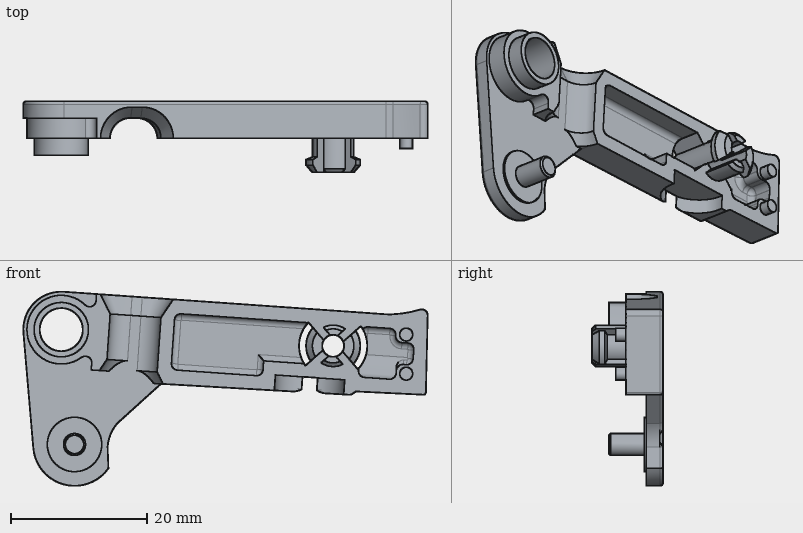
import cadquery as cq
import math

ARM_TILT = 4.0

PLATE_THICKNESS = 2.5
ARM_THICKNESS = 5.5
COLLAR_HEIGHT = 8.0
PIN_HEIGHT = 8.0
PAD_HEIGHT = 2.8
DOWEL_HEIGHT = 7.0
CLIP_HEIGHT = 10.5
REAR_FILLET = 0.5

PIVOT_RADIUS = 5.6
BOSS_RADIUS = 5.05
COLLAR_RADIUS = 4.0
BORE_RADIUS = 3.15
RELIEF_RADIUS = 0.95
RELIEF_ANGLE = 50.0

PIN_U, PIN_V = 3.12, -16.7
LOBE_RADIUS = 6.1
LOBE_END_ANGLE = -31.0
PAD_RADIUS = 4.0
PIN_RADIUS = 1.62
PIN_CHAMFER = 0.27
THROAT_LOW = (8.01, -16.68)
THROAT_MIDDLE = (8.33, -14.8)
THROAT_HIGH = (9.23, -13.12)

ARM_TOP = PIVOT_RADIUS
ARM_HEEL = (15.17, -6.94)
STEP_LOW = (43.13, -6.61)
STEP_HIGH = (43.83, -6.06)
TIP_LOW = (54.14, -5.84)
TIP_HIGH = (53.54, 7.1)
THUMB_START_U = 47.43
THUMB_BEND = (48.42, 5.66)
TIP_TOP_FILLET = 0.9
TIP_LOW_FILLET = 0.4

GROOVE_U = 10.75
GROOVE_RADIUS = ARM_THICKNESS - PLATE_THICKNESS
GROOVE_FLAT = 1.5
FLARE_ANGLE = 30.0
UPPER_FLARE_V = 2.8
FLARE_LENGTH = 1.7
LEFT_END_V = -PIVOT_RADIUS
RIGHT_END_V = ARM_HEEL[1]

POCKET_FLOOR = 1.75
POCKET_TOP_V = 3.55
POCKET_CORNER = 0.95
FLOOR_FILLET = 0.9
NEAR_POCKET_U = 16.5
NEAR_STEP_U = 30.0
NEAR_LOW_V = -4.75
NEAR_STEP_V = -2.5
FAR_POCKET_U = 44.0
FAR_LOW_V = -3.9
FAR_UPPER_SHOULDER_U = 49.1
FAR_LOWER_SHOULDER_U = 49.55
FAR_END_U = 51.9
FAR_NECK_HALF = 1.6
FAR_TROUGH_RADIUS = 3.4

CLIP_U, CLIP_V = 40.03, 0.41
CLIP_BORE_RADIUS = 1.6
PRONG_RADIUS = 3.05
HOOK_RADIUS = 4.0
HOOK_START = 8.2
HOOK_FULL = 8.6
HOOK_TAPER_START = 9.4
PLAIN_CHAMFER = 0.55
SLOT_RADIUS = 5.0
HOOK_WEDGE_OFFSET = 0.7
PLAIN_WEDGE_OFFSET = 1.0

SCOOP_U, SCOOP_TOP_V = 36.97, -4.45
SCOOP_RADIUS = 5.12
SCOOP_AXIS_HEIGHT = 5.0

DOWEL_RADIUS = 0.95
DOWELS = ((50.63, 2.81), (51.03, -2.92))

BEYOND = 10.0


def arm_plane(height=0.0):
    """Plane parallel to the rear face, at a height above it, with axes u and v."""
    tilt = math.radians(ARM_TILT)
    return cq.Workplane(
        cq.Plane((0, -height, 0), xDir=(math.cos(tilt), 0, -math.sin(tilt)), normal=(0, -1, 0))
    )


def polar(radius, angle, center=(0, 0)):
    turn = math.radians(angle)
    return (center[0] + radius * math.cos(turn), center[1] + radius * math.sin(turn))


def cylinder(u, v, radius, start, end):
    return arm_plane(start).center(u, v).circle(radius).extrude(end - start)


def prism(points, start, end):
    return arm_plane(start).polyline(points).close().extrude(end - start)


def blank(thickness):
    """Whole outline at one thickness, with the tip corners and rear edge rounded."""
    lobe = (PIN_U, PIN_V)
    spacing = math.hypot(PIN_U, PIN_V)
    toward_lobe = math.degrees(math.atan2(PIN_V, PIN_U))
    tangent = toward_lobe - math.degrees(math.acos((PIVOT_RADIUS - LOBE_RADIUS) / spacing))
    body = (
        arm_plane()
        .moveTo(0, ARM_TOP)
        .lineTo(THUMB_START_U, ARM_TOP)
        .tangentArcPoint(THUMB_BEND, relative=False)
        .tangentArcPoint(TIP_HIGH, relative=False)
        .lineTo(*TIP_LOW)
        .lineTo(*STEP_HIGH)
        .lineTo(*STEP_LOW)
        .lineTo(*ARM_HEEL)
        .lineTo(*THROAT_HIGH)
        .threePointArc(THROAT_MIDDLE, THROAT_LOW)
        .lineTo(*polar(LOBE_RADIUS, LOBE_END_ANGLE, lobe))
        .threePointArc(
            polar(LOBE_RADIUS, (tangent + LOBE_END_ANGLE) / 2, lobe),
            polar(LOBE_RADIUS, tangent, lobe),
        )
        .lineTo(*polar(PIVOT_RADIUS, tangent))
        .threePointArc(polar(PIVOT_RADIUS, (90 + tangent + 360) / 2), (0, ARM_TOP))
        .close()
        .extrude(thickness)
    )
    body = body.edges(nearest_edge(TIP_HIGH, thickness / 2)).fillet(TIP_TOP_FILLET)
    body = body.edges(nearest_edge(TIP_LOW, thickness / 2)).fillet(TIP_LOW_FILLET)
    return body.faces(">Y").edges().fillet(REAR_FILLET)


def nearest_edge(corner, height):
    """Selector for the edge along Y whose middle is at a corner (u, v) and a height."""
    middle = arm_plane(height).plane.toWorldCoords(corner)
    return cq.selectors.NearestToPointSelector(middle.toTuple())


def raised_region():
    """Boss around the bore, its web and the arm: all that stands above the plate."""
    spacing = BOSS_RADIUS + RELIEF_RADIUS
    upper = polar(spacing, RELIEF_ANGLE)
    lower = polar(spacing, -RELIEF_ANGLE)
    wall_u = upper[0] + RELIEF_RADIUS
    half_turn = (180 - RELIEF_ANGLE) / 2
    return (
        arm_plane(PLATE_THICKNESS)
        .moveTo(wall_u, BEYOND)
        .lineTo(wall_u, upper[1])
        .threePointArc(polar(RELIEF_RADIUS, -half_turn, upper), polar(BOSS_RADIUS, RELIEF_ANGLE))
        .threePointArc((-BOSS_RADIUS, 0), polar(BOSS_RADIUS, -RELIEF_ANGLE))
        .threePointArc(polar(RELIEF_RADIUS, half_turn, lower), (wall_u, lower[1]))
        .lineTo(wall_u, LEFT_END_V)
        .lineTo(GROOVE_U, LEFT_END_V)
        .lineTo(GROOVE_U, RIGHT_END_V)
        .lineTo(TIP_LOW[0] + BEYOND, RIGHT_END_V)
        .lineTo(TIP_LOW[0] + BEYOND, BEYOND)
        .close()
        .extrude(ARM_THICKNESS - PLATE_THICKNESS)
    )


def groove_outline(v, radius):
    """Closed groove profile in the plane across the arm at v."""
    arm = arm_plane(ARM_THICKNESS).plane
    plane = cq.Plane(arm.toWorldCoords((GROOVE_U, v)), xDir=arm.xDir, normal=arm.yDir)
    half_flat = GROOVE_FLAT / 2
    half_width = half_flat + radius
    bend = radius * math.sqrt(0.5)
    outline = (
        cq.Workplane(plane)
        .moveTo(-half_width, 0)
        .threePointArc((-half_flat - bend, bend), (-half_flat, radius))
        .lineTo(half_flat, radius)
        .threePointArc((half_flat + bend, bend), (half_width, 0))
        .lineTo(half_width, -BEYOND)
        .lineTo(-half_width, -BEYOND)
        .close()
    )
    return outline.val()


def groove_cutter(start_v, end_v, end_radius):
    """Groove from start_v to end_v, its radius changing evenly to end_radius."""
    outlines = [groove_outline(start_v, GROOVE_RADIUS), groove_outline(end_v, end_radius)]
    return cq.Workplane(cq.Solid.makeLoft(outlines, True))


def flare_cutter(start_v, end_v):
    growth = abs(end_v - start_v) * math.tan(math.radians(FLARE_ANGLE))
    return groove_cutter(start_v, end_v, GROOVE_RADIUS + growth)


def lower_flare(end_v, near_u, far_u):
    """Flare at the lower end of one half of the groove; it stops at the plate."""
    limits = [(near_u, -BEYOND), (far_u, -BEYOND), (far_u, 0), (near_u, 0)]
    region = prism(limits, PLATE_THICKNESS, ARM_THICKNESS)
    return flare_cutter(end_v + FLARE_LENGTH, end_v).intersect(region)


def cut_groove(body):
    straight = groove_cutter(RIGHT_END_V, BEYOND, GROOVE_RADIUS)
    upper_flare = flare_cutter(UPPER_FLARE_V, BEYOND)
    body = body.cut(straight).cut(upper_flare)
    body = body.cut(lower_flare(LEFT_END_V, GROOVE_U - BEYOND, GROOVE_U))
    return body.cut(lower_flare(RIGHT_END_V, GROOVE_U, GROOVE_U + BEYOND))


def finish_pocket(body):
    """Round the floor edge of a pocket cutter and keep it clear of the clip's surround."""
    body = body.faces(">Y").edges().fillet(FLOOR_FILLET)
    return body.cut(cylinder(CLIP_U, CLIP_V, SLOT_RADIUS, 0, ARM_THICKNESS))


def near_pocket():
    """L-shaped pocket between groove and clip; its inner step corner stays sharp."""
    step_corner = (NEAR_STEP_U, NEAR_STEP_V)
    outline = [
        (NEAR_POCKET_U, POCKET_TOP_V),
        (CLIP_U, POCKET_TOP_V),
        (CLIP_U, NEAR_STEP_V),
        step_corner,
        (NEAR_STEP_U, NEAR_LOW_V),
        (NEAR_POCKET_U, NEAR_LOW_V),
    ]
    body = prism(outline, POCKET_FLOOR, ARM_THICKNESS)
    sharp = nearest_edge(step_corner, (POCKET_FLOOR + ARM_THICKNESS) / 2)
    rounded = cq.selectors.SubtractSelector(cq.selectors.StringSyntaxSelector("|Y"), sharp)
    return finish_pocket(body.edges(rounded).fillet(POCKET_CORNER))


def far_trough():
    """Space above the far pocket's floor, its lower side swept up in a broad round."""
    depth = ARM_THICKNESS - POCKET_FLOOR
    profile_plane = cq.Plane(
        arm_plane(POCKET_FLOOR).plane.toWorldCoords((FAR_POCKET_U, FAR_LOW_V)),
        xDir=arm_plane().plane.yDir,
        normal=arm_plane().plane.xDir,
    )
    bend = FAR_TROUGH_RADIUS * (1 - math.sqrt(0.5))
    return (
        cq.Workplane(profile_plane)
        .moveTo(0, depth)
        .lineTo(0, FAR_TROUGH_RADIUS)
        .threePointArc((bend, bend), (FAR_TROUGH_RADIUS, 0))
        .lineTo(POCKET_TOP_V - FAR_LOW_V, 0)
        .lineTo(POCKET_TOP_V - FAR_LOW_V, depth)
        .close()
        .extrude(FAR_END_U - FAR_POCKET_U)
    )


def far_pocket():
    """Pocket between clip and tip, narrowing to pass between the dowels."""
    outline = [
        (FAR_POCKET_U, POCKET_TOP_V),
        (FAR_UPPER_SHOULDER_U, POCKET_TOP_V),
        (FAR_UPPER_SHOULDER_U, FAR_NECK_HALF),
        (FAR_END_U, FAR_NECK_HALF),
        (FAR_END_U, -FAR_NECK_HALF),
        (FAR_LOWER_SHOULDER_U, -FAR_NECK_HALF),
        (FAR_LOWER_SHOULDER_U, FAR_LOW_V),
        (FAR_POCKET_U, FAR_LOW_V),
    ]
    body = prism(outline, POCKET_FLOOR, ARM_THICKNESS).edges("|Y").fillet(POCKET_CORNER)
    return finish_pocket(body).intersect(far_trough())


def wedge(direction, offset):
    """Quarter wedge around the clip, its tip moved outward from the clip axis."""
    tip = polar(offset, direction, (CLIP_U, CLIP_V))
    sides = [polar(BEYOND, direction + turn, tip) for turn in (-45, 45)]
    return prism([tip, *sides], 0, CLIP_HEIGHT)


def revolved(profile):
    """Solid of revolution about the clip axis from (radius, height) points."""
    center = arm_plane().plane.toWorldCoords((CLIP_U, CLIP_V))
    plane = cq.Plane(center, xDir=(1, 0, 0), normal=(0, 0, -1))
    return cq.Workplane(plane).polyline(profile).close().revolve(360, (0, 0), (0, 1))


def add_clip(body):
    """Two hooked and two plain prongs, with through slots behind the hooks."""
    hooked = revolved(
        [
            (CLIP_BORE_RADIUS, 0),
            (PRONG_RADIUS, 0),
            (PRONG_RADIUS, HOOK_START),
            (HOOK_RADIUS, HOOK_FULL),
            (HOOK_RADIUS, HOOK_TAPER_START),
            (PRONG_RADIUS, CLIP_HEIGHT),
            (CLIP_BORE_RADIUS, CLIP_HEIGHT),
        ]
    )
    plain = revolved(
        [
            (CLIP_BORE_RADIUS, 0),
            (PRONG_RADIUS, 0),
            (PRONG_RADIUS, CLIP_HEIGHT - PLAIN_CHAMFER),
            (PRONG_RADIUS - PLAIN_CHAMFER, CLIP_HEIGHT),
            (CLIP_BORE_RADIUS, CLIP_HEIGHT),
        ]
    )
    slot_disc = cylinder(CLIP_U, CLIP_V, SLOT_RADIUS, 0, ARM_THICKNESS)
    for direction in (0, 180):
        body = body.cut(slot_disc.intersect(wedge(direction, HOOK_WEDGE_OFFSET)))
    for direction in (0, 180):
        body = body.union(hooked.intersect(wedge(direction, HOOK_WEDGE_OFFSET)))
    for direction in (90, 270):
        body = body.union(plain.intersect(wedge(direction, PLAIN_WEDGE_OFFSET)))
    return body.cut(cylinder(CLIP_U, CLIP_V, CLIP_BORE_RADIUS, 0, CLIP_HEIGHT))


def scoop():
    """Cylindrical scoop across the lower edge of the arm."""
    arm = arm_plane(SCOOP_AXIS_HEIGHT).plane
    plane = cq.Plane(
        arm.toWorldCoords((SCOOP_U, SCOOP_TOP_V)), xDir=arm.xDir, normal=-arm.yDir
    )
    return cq.Workplane(plane).circle(SCOOP_RADIUS).extrude(BEYOND)


def pin():
    body = cylinder(PIN_U, PIN_V, PIN_RADIUS, 0, PIN_HEIGHT)
    body = body.faces("<Y").chamfer(PIN_CHAMFER)
    return body.union(cylinder(PIN_U, PIN_V, PAD_RADIUS, 0, PAD_HEIGHT))


def add_collar(body):
    body = body.union(cylinder(0, 0, COLLAR_RADIUS, PLATE_THICKNESS, COLLAR_HEIGHT))
    return body.cut(cylinder(0, 0, BORE_RADIUS, 0, COLLAR_HEIGHT))


def add_dowels(body):
    for u, v in DOWELS:
        body = body.union(cylinder(u, v, DOWEL_RADIUS, POCKET_FLOOR, DOWEL_HEIGHT))
    return body


raised = blank(ARM_THICKNESS).intersect(raised_region())
result = blank(PLATE_THICKNESS).union(raised)
result = cut_groove(result)
result = result.cut(near_pocket()).cut(far_pocket())
result = add_clip(result)
result = result.cut(scoop())
result = add_collar(result)
result = result.union(pin())
result = add_dowels(result)